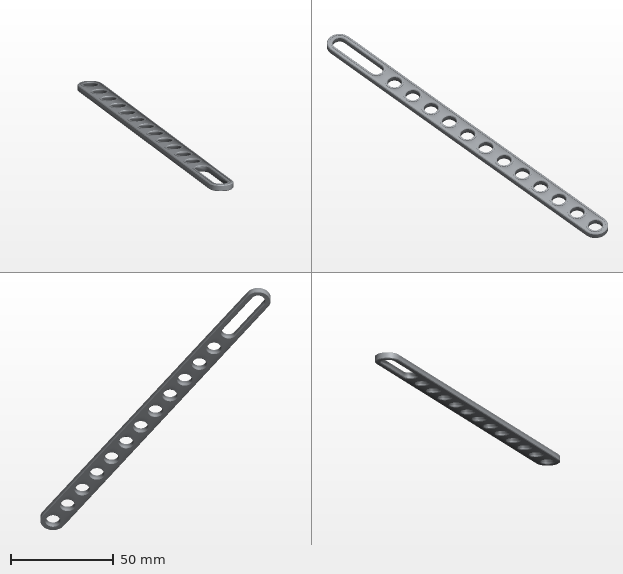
import cadquery as cq

length = 187.5
pitch_count = 15
thickness = 3.2
hole_diameter = 7.0
collar_diameter = 9.2
rim_width = 1.1
recess_depth = 0.25
edge_chamfer = 0.34
hole_count = 12

pitch = length / pitch_count
width = pitch
first_hole_x = (width - length) / 2
slot_start_x = first_hole_x + hole_count * pitch
slot_end_x = (length - width) / 2
slot_center_x = (slot_start_x + slot_end_x) / 2
slot_travel = slot_end_x - slot_start_x
hole_points = [(first_hole_x + i * pitch, 0) for i in range(hole_count)]
floor_z = thickness - recess_depth


def opening_prisms(diameter, bottom_z, height):
    """Prisms of one diameter at every round hole and along the slot."""
    plane = cq.Workplane("XY").workplane(offset=bottom_z)
    round_prisms = plane.pushPoints(hole_points).circle(diameter / 2).extrude(height)
    slot_prism = plane.center(slot_center_x, 0).slot2D(slot_travel + diameter, diameter).extrude(height)
    return round_prisms.union(slot_prism)


def perforated_strip():
    """Flat strip with rounded ends and through openings, all edges chamfered."""
    strip = cq.Workplane("XY").slot2D(length, width).extrude(thickness)
    strip = strip.cut(opening_prisms(hole_diameter, 0, thickness))
    return strip.faces("<Z or >Z").edges().chamfer(edge_chamfer)


def top_recess():
    """Material removed from the top face inside the rim, leaving the collars."""
    inset = 2 * rim_width
    pocket = (
        cq.Workplane("XY")
        .workplane(offset=floor_z)
        .slot2D(length - inset, width - inset)
        .extrude(recess_depth)
    )
    return pocket.cut(opening_prisms(collar_diameter, floor_z, recess_depth))


result = perforated_strip().cut(top_recess())